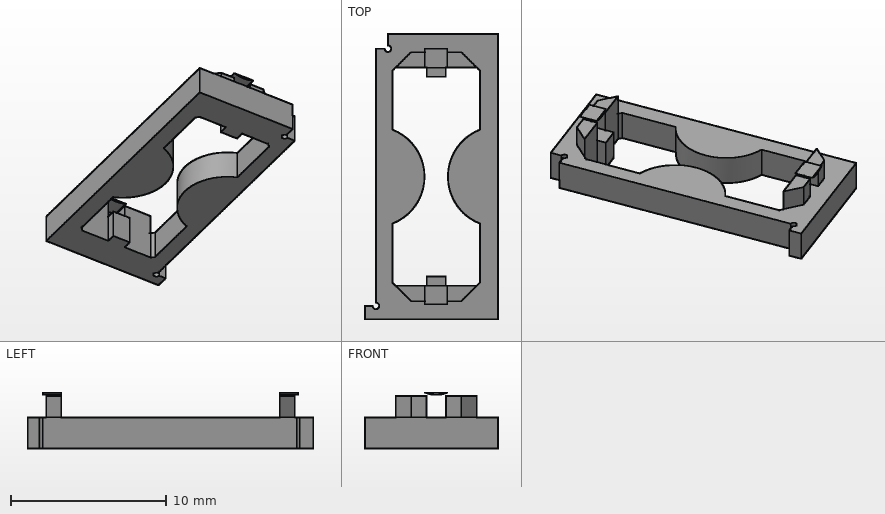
import cadquery as cq

length = 18.4
half_length = length / 2
width = 8.6
frame_height = 2.0
axis_to_right = 4.0
right_side = axis_to_right
left_side = right_side - width
front_lug_width = 0.72
back_notch_width = 0.77
foot_length = 0.86
notch_length = 0.95
relief_radius = 0.2
main_left = left_side + front_lug_width
back_left = main_left + back_notch_width

opening_half_width = 2.82
opening_half_length = 7.03
opening_chamfer = 0.2
lobe_gap = 1.49
lobe_radius = 3.25
lobe_offset = lobe_gap / 2 + lobe_radius

post_height = 1.4
post_depth = 1.0
post_half_width = opening_half_width - opening_chamfer
post_outer_half_width = post_half_width - post_depth
slot_width = 1.25
tab_reach = 0.6

strip_width = 1.45
strip_thickness = 0.15
strip_length = 1.2
strip_top = 3.6


def box(x_min, x_max, y_min, y_max, z_min, z_max):
    """Make a box from its limits along each axis."""
    size = (x_max - x_min, y_max - y_min, z_max - z_min)
    return cq.Workplane("XY").box(*size, centered=False).translate((x_min, y_min, z_min))


def make_plate():
    """Outer plate with the stepped left corners and their round reliefs."""
    foot_top = -half_length + foot_length
    notch_bottom = half_length - notch_length
    plate = (
        cq.Workplane("XY")
        .polyline([
            (left_side, -half_length),
            (right_side, -half_length),
            (right_side, half_length),
            (back_left, half_length),
            (back_left, notch_bottom),
            (main_left, notch_bottom),
            (main_left, foot_top),
            (left_side, foot_top),
        ])
        .close()
        .extrude(frame_height)
    )
    reliefs = (
        cq.Workplane("XY")
        .pushPoints([(main_left, foot_top), (back_left, notch_bottom)])
        .circle(relief_radius)
        .extrude(frame_height)
    )
    return plate.cut(reliefs)


def make_opening():
    """Chamfered through opening, less the two lobes."""
    opening = (
        cq.Workplane("XY")
        .rect(2 * opening_half_width, 2 * opening_half_length)
        .extrude(frame_height)
        .edges("|Z")
        .chamfer(opening_chamfer)
    )
    lobes = (
        cq.Workplane("XY")
        .pushPoints([(-lobe_offset, 0), (lobe_offset, 0)])
        .circle(lobe_radius)
        .extrude(frame_height)
    )
    return opening.cut(lobes)


def make_back_posts():
    """Pair of tapered posts standing on the back end of the frame."""
    outer_y = opening_half_length + post_depth
    block = (
        cq.Workplane("XY", origin=(0, 0, frame_height))
        .polyline([
            (-post_half_width, opening_half_length),
            (post_half_width, opening_half_length),
            (post_outer_half_width, outer_y),
            (-post_outer_half_width, outer_y),
        ])
        .close()
        .extrude(post_height)
    )
    slot = box(-slot_width / 2, slot_width / 2, opening_half_length, outer_y,
               frame_height, frame_height + post_height)
    return block.cut(slot)


def make_back_tab():
    """Tab as tall as the frame, reaching into the opening from its back end."""
    return box(-slot_width / 2, slot_width / 2, opening_half_length - tab_reach, opening_half_length,
               0, frame_height)


def make_frame():
    """Plate with its opening, and posts and a tab at each end."""
    frame = make_plate().cut(make_opening())
    for feature in (make_back_posts(), make_back_tab()):
        frame = frame.union(feature).union(feature.mirror("XZ"))
    return frame


def make_strip(y_min):
    """Strip with a flat top and an arched underside, running along Y."""
    return (
        cq.Workplane("XZ", origin=(0, y_min, strip_top))
        .moveTo(-strip_width / 2, 0)
        .threePointArc((0, -strip_thickness), (strip_width / 2, 0))
        .close()
        .extrude(-strip_length)
    )


frame = make_frame()
strips = []
for strip_start in (opening_half_length, -opening_half_length - strip_length):
    strips.append(make_strip(strip_start).val())

result = cq.Compound.makeCompound([frame.val(), *strips])